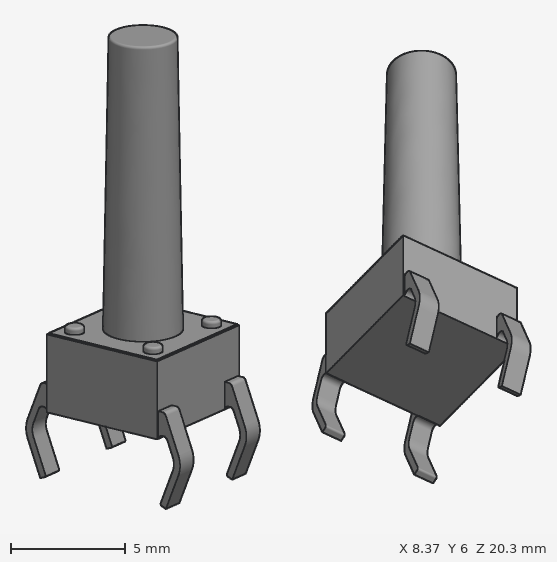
import cadquery as cq
import math

total_height = 20.32
leg_span = 8.37

body_side = 6.0
body_bottom = 3.15
body_top = 6.8
cover_inset = 0.06
cover_thickness = 0.06

plunger_base_diameter = 3.52
plunger_top_diameter = 3.03
plunger_top_fillet = 0.12

rivet_diameter = 0.85
rivet_height = 0.3
rivet_fillet = 0.12
rivet_offset = 2.13

leg_width = 1.0
leg_offset = 2.42
leg_thickness = 0.35
leg_top = 4.43
leg_lean = math.radians(22)
leg_bend_height = 2.15
leg_bend_radius = 1.22
leg_shoulder_fillet = 0.2
leg_arch_radius = 0.26
leg_tip_fillet = 0.1


def make_body():
    """Square housing closed by a thin, slightly smaller cover plate."""
    cover_side = body_side - 2 * cover_inset
    base_height = body_top - cover_thickness - body_bottom
    base = cq.Workplane("XY", origin=(0, 0, body_bottom)).rect(body_side, body_side).extrude(base_height)
    return base.faces(">Z").workplane().rect(cover_side, cover_side).extrude(cover_thickness)


def make_plunger():
    """Tapered push rod with a rounded top rim."""
    base = cq.Workplane("XY", origin=(0, 0, body_top)).circle(plunger_base_diameter / 2)
    rod = base.workplane(offset=total_height - body_top).circle(plunger_top_diameter / 2).loft()
    return rod.faces(">Z").edges().fillet(plunger_top_fillet)


def make_rivets():
    """One rounded rivet head near each housing corner."""
    return (
        cq.Workplane("XY", origin=(0, 0, body_top))
        .rect(2 * rivet_offset, 2 * rivet_offset, forConstruction=True)
        .vertices()
        .circle(rivet_diameter / 2)
        .extrude(rivet_height)
        .faces(">Z")
        .edges()
        .fillet(rivet_fillet)
    )


def make_leg(y_center):
    """Bent +X leg: leans outward, turns through a round knee and leans back in."""
    wall = body_side / 2
    sin_lean = math.sin(leg_lean)
    cos_lean = math.cos(leg_lean)
    tan_lean = math.tan(leg_lean)

    knee_x = leg_span / 2 - leg_bend_radius
    inner_radius = leg_bend_radius - leg_thickness

    def knee_point(radius, angle):
        return (knee_x + radius * math.cos(angle), leg_bend_height + radius * math.sin(angle))

    outer_upper = knee_point(leg_bend_radius, leg_lean)
    outer_lower = knee_point(leg_bend_radius, -leg_lean)
    inner_upper = knee_point(inner_radius, leg_lean)
    inner_lower = knee_point(inner_radius, -leg_lean)

    shoulder = (outer_upper[0] - (leg_top - outer_upper[1]) * tan_lean, leg_top)
    tip_outer = (outer_lower[0] - outer_lower[1] * tan_lean, 0)
    tip_inner = (tip_outer[0] - leg_thickness * cos_lean, leg_thickness * sin_lean)

    face_distance = (knee_x - wall) * cos_lean + (leg_bend_height - body_bottom) * sin_lean + inner_radius
    center_shift = face_distance - leg_arch_radius
    along_face = math.sqrt(leg_arch_radius**2 - center_shift**2)
    arch_x = wall + center_shift * cos_lean + along_face * sin_lean
    arch_z = body_bottom + center_shift * sin_lean - along_face * cos_lean
    arch_end = (arch_x + leg_arch_radius * cos_lean, arch_z + leg_arch_radius * sin_lean)
    arch_crown = (arch_x, arch_z + leg_arch_radius)

    leg = (
        cq.Workplane("XZ", origin=(0, y_center + leg_width / 2, 0))
        .moveTo(wall, leg_top)
        .lineTo(*shoulder)
        .lineTo(*outer_upper)
        .threePointArc((leg_span / 2, leg_bend_height), outer_lower)
        .lineTo(*tip_outer)
        .lineTo(*tip_inner)
        .lineTo(*inner_lower)
        .threePointArc((knee_x + inner_radius, leg_bend_height), inner_upper)
        .lineTo(*arch_end)
        .threePointArc(arch_crown, (wall, body_bottom))
        .close()
        .extrude(leg_width)
    )

    def edge_at(point):
        return cq.selectors.NearestToPointSelector((point[0], y_center, point[1]))

    leg = leg.edges(edge_at(shoulder)).fillet(leg_shoulder_fillet)
    return leg.edges(edge_at(tip_inner)).fillet(leg_tip_fillet)


result = make_body().union(make_plunger()).union(make_rivets())
for side in (-1, 1):
    leg = make_leg(side * leg_offset)
    result = result.union(leg).union(leg.mirror("YZ"))